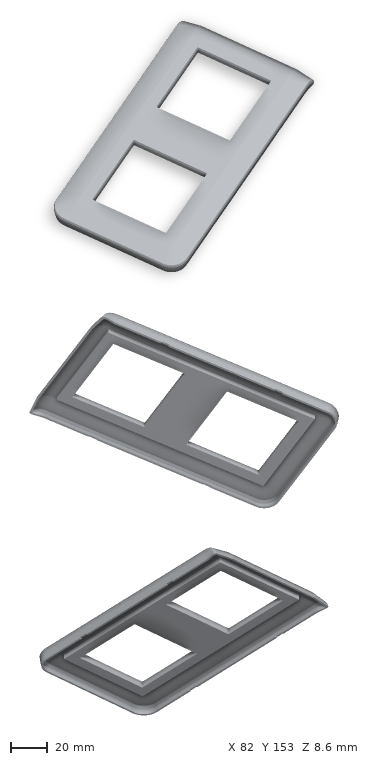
import cadquery as cq
import math

width = 82.0
length = 153.0
height = 8.6
wall = 1.2

corner_radius = 10.2
rim_top_z = 7.0
rim_break_z = 6.65
rim_bottom_z = 5.6
rim_top_inset = 0.6
rim_break_inset = 0.35
skirt_tuck = 0.9
skirt_bow = 0.35

panel_half_width = 29.9
panel_front_y = -65.9
panel_corner_radius = 1.5

end_radius = 11.0
end_axis_z = height - end_radius
end_axis_y = length / 2 - math.sqrt(end_radius**2 - end_axis_z**2)

window_pitch = 71.0
window_size = 45.0
window_flare = 0.4
window_centres = [-window_pitch / 2, window_pitch / 2]

notch_length = 5.0
notch_height = 0.5

support_thickness = 3.0
support_margin = 1.5


def front_rounded_outline(z, half_width, front_y, radius):
    """Closed outline at height z, square at the end axis and rounded at its -Y corners."""
    lean = radius * (1 - math.sqrt(0.5))
    return (
        cq.Workplane("XY", origin=(0, 0, z))
        .moveTo(-half_width, end_axis_y)
        .lineTo(-half_width, front_y + radius)
        .threePointArc((-half_width + lean, front_y + lean), (-half_width + radius, front_y))
        .lineTo(half_width - radius, front_y)
        .threePointArc((half_width - lean, front_y + lean), (half_width, front_y + radius))
        .lineTo(half_width, end_axis_y)
        .close()
        .val()
    )


def rim_outline(z, inset):
    """Outer outline of the cover at height z, drawn in by inset."""
    return front_rounded_outline(z, width / 2 - inset, -length / 2 + inset, corner_radius - inset)


def cover_form(inset):
    """Solid outer form of the cover, drawn in by inset on its sides and top."""
    panel = front_rounded_outline(height - inset, panel_half_width, panel_front_y, panel_corner_radius)
    rim_top = rim_outline(rim_top_z - inset, inset + rim_top_inset)
    rim_break = rim_outline(rim_break_z - inset, inset + rim_break_inset)
    rim_bottom = rim_outline(rim_bottom_z - inset, inset)
    skirt_middle = rim_outline((rim_bottom_z - inset) / 2, inset + skirt_bow)
    skirt_foot = rim_outline(0, inset + skirt_tuck)

    skirt = cq.Solid.makeLoft([skirt_foot, skirt_middle, rim_bottom])
    rim = cq.Solid.makeLoft([rim_bottom, rim_break, rim_top], True)
    border = cq.Solid.makeLoft([rim_top, panel], True)
    form = cq.Workplane(skirt).union(cq.Workplane(rim)).union(cq.Workplane(border))

    axis_start = cq.Vector(0, end_axis_y, end_axis_z)
    axis_end = axis_start + cq.Vector(-1, 0, 0)
    section = form.faces(">Y").val()
    rounded_end = cq.Workplane(cq.Solid.revolve(section, 90, axis_start, axis_end))
    above_base = cq.Workplane().box(2 * width, 2 * length, height, centered=(True, True, False))
    return form.union(rounded_end.intersect(above_base))


def window_cutter(centre_y):
    """Flared cutter for one window through the top of the cover."""
    top_size = window_size + 2 * window_flare
    return (
        cq.Workplane("XY", origin=(0, centre_y, height - wall))
        .rect(window_size, window_size)
        .workplane(offset=wall)
        .rect(top_size, top_size)
        .loft(ruled=True)
    )


def make_cover():
    """Thin hollow cover with two windows and notched side skirts."""
    cover = cover_form(0).cut(cover_form(wall))
    for centre_y in window_centres:
        notch = cq.Workplane("XY", origin=(0, centre_y, 0)).box(
            width, notch_length, notch_height, centered=(True, True, False)
        )
        cover = cover.cut(window_cutter(centre_y)).cut(notch)
    return cover


def make_support():
    """Flat frame against the underside of the panel, lining both windows."""
    half_width = panel_half_width - support_margin
    front_y = panel_front_y + support_margin
    back_y = end_axis_y - support_margin
    plate = cq.Workplane("XY", origin=(0, (front_y + back_y) / 2, height - wall - support_thickness)).box(
        2 * half_width, back_y - front_y, support_thickness, centered=(True, True, False)
    )
    openings = (
        cq.Workplane("XY")
        .pushPoints([(0, centre_y) for centre_y in window_centres])
        .rect(window_size, window_size)
        .extrude(height)
    )
    return plate.cut(openings)


cover = make_cover()
support = make_support()
result = cq.Compound.makeCompound([cover.solids().val(), support.solids().val()])